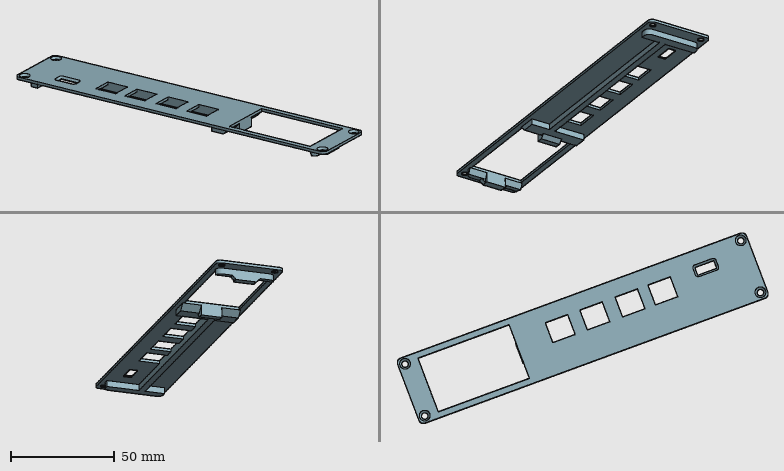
import cadquery as cq

plate_length = 180.0
plate_width = 34.0
plate_thickness = 1.5
plate_corner_radius = 2.3

screw_hole_diameter = 3.0
countersink_diameter = 5.2
screw_inset = 3.5

window_left = 122.8
window_right = 169.7
window_width = 28.0
frame_width = 29.5
frame_bottom = -4.5
frame_corner_radius = 2.7
left_wall_start = 6.7
left_wall_end = 11.5
inner_wall_start = 112.9
right_wall_end = 173.5

clip_bottom = -6.5
clip_width = 10.5
clip_foot_length = 3.0
clip_lip_thickness = 1.3

button_centers = (47.3, 64.3, 82.5, 100.3)
button_length = 11.5
button_front = -8.8
button_back = 1.6
rib_thickness = 3.2

slot_center = (24.0, -7.0)
slot_length = 9.7
slot_width = 4.0
slot_bevel = 1.0
slot_rim_radius = 1.5

frame_height = -plate_thickness - frame_bottom
clip_drop = frame_bottom - clip_bottom


def block(x_start, x_end, y_start, y_end, z_bottom, z_top):
    """Axis-aligned block between the given limits."""
    size = (x_end - x_start, y_end - y_start, z_top - z_bottom)
    return cq.Workplane("XY").box(*size, centered=False).translate((x_start, y_start, z_bottom))


def prism_across(points, width):
    """Prism of an XZ outline, centred on the plate's long axis."""
    return cq.Workplane("XZ").polyline(points).close().extrude(width / 2, both=True)


def make_plate():
    plate = block(0, plate_length, -plate_width / 2, plate_width / 2, -plate_thickness, 0)
    return plate.edges("|Z").fillet(plate_corner_radius)


def frame_wall(x_start, x_end):
    """Wall under the plate, running almost the full plate width."""
    return block(x_start, x_end, -frame_width / 2, frame_width / 2, frame_bottom, -plate_thickness)


def window_bevel(x_window, reach):
    """Wedge that bevels a wall's window side; reach is its signed depth along X at the bottom."""
    points = [
        (x_window, -plate_thickness),
        (x_window, frame_bottom),
        (x_window + reach, frame_bottom),
    ]
    return prism_across(points, frame_width)


def left_clip():
    """Clip flush with the window, with a sloped underside facing away from it."""
    foot_start = window_left - clip_foot_length
    points = [
        (window_left, -plate_thickness),
        (window_left, clip_bottom),
        (foot_start, clip_bottom),
        (foot_start - clip_drop, frame_bottom),
        (foot_start - clip_drop, -plate_thickness),
    ]
    return prism_across(points, clip_width)


def right_clip():
    """Upright lip at the window, backed by a block that widens towards the wall."""
    lip_end = window_right + clip_lip_thickness
    lip = block(window_right, lip_end, -clip_width / 2, clip_width / 2, clip_bottom, -plate_thickness)
    half_bottom = clip_width / 2
    half_top = half_bottom + clip_drop
    outline = [
        (-half_bottom, clip_bottom),
        (half_bottom, clip_bottom),
        (half_top, frame_bottom),
        (half_top, -plate_thickness),
        (-half_top, -plate_thickness),
        (-half_top, frame_bottom),
    ]
    backing = cq.Workplane("YZ").polyline(outline).close().extrude(right_wall_end - lip_end)
    return lip.union(backing.translate((lip_end, 0, 0)))


def make_frame():
    left_wall = frame_wall(left_wall_start, left_wall_end)
    left_wall = left_wall.edges("|Z and <X").fillet(frame_corner_radius)
    inner_wall = frame_wall(inner_wall_start, window_left).cut(window_bevel(window_left, -frame_height))
    right_wall = frame_wall(window_right, right_wall_end)
    right_wall = right_wall.edges("|Z and >X").fillet(frame_corner_radius)
    right_wall = right_wall.cut(window_bevel(window_right, clip_lip_thickness))
    rib_back = button_back + rib_thickness
    rib = block(left_wall_end, inner_wall_start, button_back, rib_back, frame_bottom, -plate_thickness)
    left_frame = left_wall.union(rib).union(inner_wall).union(left_clip())
    right_frame = right_wall.union(right_clip())
    return left_frame.union(right_frame)


def cut_screw_holes(body):
    spacing_x = plate_length - 2 * screw_inset
    spacing_y = plate_width - 2 * screw_inset
    return (
        body.faces(">Z")
        .workplane(origin=(plate_length / 2, 0, 0))
        .rarray(spacing_x, spacing_y, 2, 2)
        .cskHole(screw_hole_diameter, countersink_diameter, 90, plate_thickness)
    )


def cut_openings(body):
    window = block(window_left, window_right, -window_width / 2, window_width / 2, -plate_thickness, 0)
    body = body.cut(window)
    for center in button_centers:
        half = button_length / 2
        body = body.cut(block(center - half, center + half, button_front, button_back, -plate_thickness, 0))
    return body


def cut_connector_slot(body):
    slot = cq.Workplane("XY").center(*slot_center)
    opening = slot.rect(slot_length, slot_width).extrude(-plate_thickness)
    rim = slot.rect(slot_length + 2 * slot_bevel, slot_width + 2 * slot_bevel).extrude(slot_bevel, both=True)
    rim = rim.edges("|Z").fillet(slot_rim_radius).faces("<Z").chamfer(slot_bevel)
    return body.cut(opening).cut(rim)


result = make_plate().union(make_frame())
result = cut_screw_holes(result)
result = cut_openings(result)
result = cut_connector_slot(result)